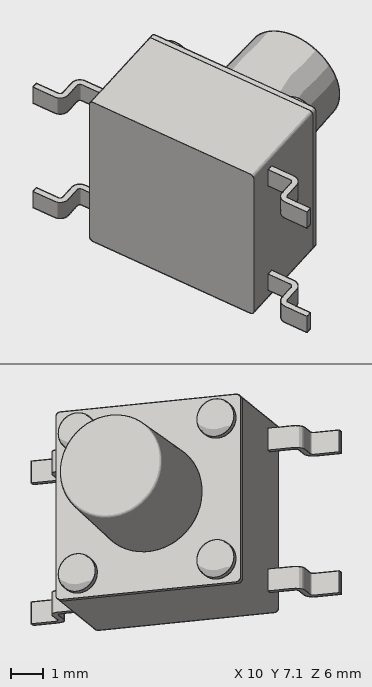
import cadquery as cq
import math


case_side = 6.0
case_depth = 3.5
cover_thickness = 0.18
case_corner_radius = 0.15
housing_depth = case_depth - cover_thickness

button_length = 3.5
button_base_radius = 1.75
button_tip_radius = 1.65
button_edge_radius = 0.13

rivet_radius = 0.6
rivet_rim_height = 0.2
rivet_dome_height = 0.2
corner_offset = 2.25

lead_span = 10.0
lead_thickness = 0.2
lead_width = 0.7
lead_standoff = 0.1
lead_height = 1.1
lead_tip_to_riser = 0.9
bend_inner_radius = 0.1
bend_outer_radius = bend_inner_radius + lead_thickness


def square_plate(start_y, thickness):
    """Square plate with rounded corners, from start_y toward +Y."""
    return (
        cq.Workplane("XZ", origin=(0, start_y, 0))
        .rect(case_side, case_side)
        .extrude(-thickness)
        .edges("|Y")
        .fillet(case_corner_radius)
    )


def make_housing():
    return square_plate(0, housing_depth)


def make_rivet_head(x, z):
    """Round head with a straight rim and a spherical dome, its axis along Y."""
    rim_y = case_depth + rivet_rim_height
    top_y = rim_y + rivet_dome_height
    dome_radius = (rivet_radius**2 + rivet_dome_height**2) / (2 * rivet_dome_height)
    half_angle = math.asin(rivet_radius / dome_radius) / 2
    arc_middle = (
        top_y - dome_radius * (1 - math.cos(half_angle)),
        dome_radius * math.sin(half_angle),
    )
    return (
        cq.Workplane("YZ")
        .moveTo(case_depth, 0)
        .lineTo(case_depth, rivet_radius)
        .lineTo(rim_y, rivet_radius)
        .threePointArc(arc_middle, (top_y, 0))
        .close()
        .revolve(360, (0, 0, 0), (1, 0, 0))
        .translate((x, 0, z))
    )


def make_cover():
    """Cover plate with its four rivet heads."""
    cover = square_plate(housing_depth, cover_thickness)
    for x in (-corner_offset, corner_offset):
        for z in (-corner_offset, corner_offset):
            cover = cover.union(make_rivet_head(x, z))
    return cover


def make_button():
    tip_y = case_depth + button_length
    return (
        cq.Workplane("YZ")
        .moveTo(case_depth, 0)
        .lineTo(case_depth, button_base_radius)
        .lineTo(tip_y, button_tip_radius)
        .lineTo(tip_y, 0)
        .close()
        .revolve(360, (0, 0, 0), (1, 0, 0))
        .faces(">Y")
        .edges()
        .fillet(button_edge_radius)
    )


def make_lead(side, z):
    """Z-shaped strip from the case wall to its foot; side is +1 or -1 along X."""
    tip_x = lead_span / 2
    wall_x = case_side / 2
    riser_outer_x = tip_x - lead_tip_to_riser
    riser_inner_x = riser_outer_x - lead_thickness
    foot_y = -lead_standoff
    shoulder_y = foot_y + lead_height
    lead = (
        cq.Workplane("XY")
        .moveTo(tip_x, foot_y)
        .lineTo(riser_inner_x, foot_y)
        .lineTo(riser_inner_x, shoulder_y - lead_thickness)
        .lineTo(wall_x, shoulder_y - lead_thickness)
        .lineTo(wall_x, shoulder_y)
        .lineTo(riser_outer_x, shoulder_y)
        .lineTo(riser_outer_x, foot_y + lead_thickness)
        .lineTo(tip_x, foot_y + lead_thickness)
        .close()
        .extrude(lead_width / 2, both=True)
    )
    for x, y, radius in (
        (riser_inner_x, shoulder_y - lead_thickness, bend_inner_radius),
        (riser_outer_x, foot_y + lead_thickness, bend_inner_radius),
        (riser_inner_x, foot_y, bend_outer_radius),
        (riser_outer_x, shoulder_y, bend_outer_radius),
    ):
        bend = cq.selectors.NearestToPointSelector((x, y, 0))
        lead = lead.edges("|Z").edges(bend).fillet(radius)
    if side < 0:
        lead = lead.mirror("YZ")
    return lead.translate((0, 0, z))


housing = make_housing()
cover = make_cover()
button = make_button()
leads = [
    make_lead(side, z)
    for side in (-1, 1)
    for z in (-corner_offset, corner_offset)
]

result = cq.Compound.makeCompound(
    [housing.val(), cover.val(), button.val(), *[lead.val() for lead in leads]]
)